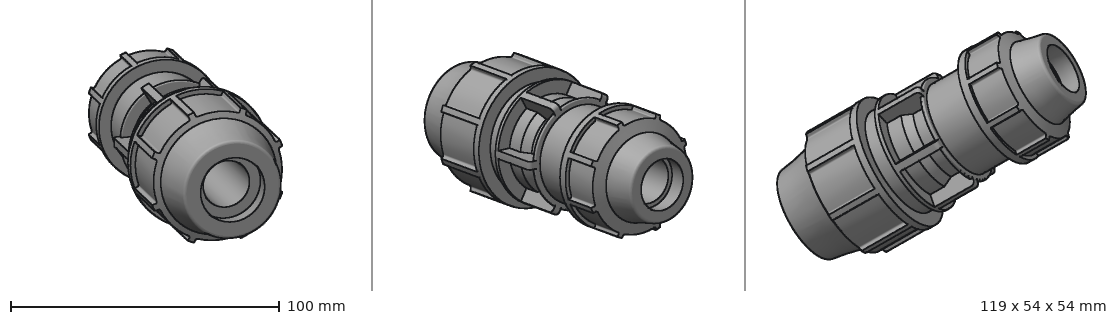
import cadquery as cq
import math

LENGTH = 119.0

TUBE_RADIUS = 38.4 / 2
RING_RADIUS = 43.2 / 2
NECK_RADIUS = RING_RADIUS
WAIST_RADIUS = 48.5 / 2
CORE_SMALL_RADIUS = 16.8
CORE_LARGE_RADIUS = 18.9
RING_START = 48.9
RING_THICKNESS = 1.4
RING_EDGE_FILLET = 0.5
CORE_TAPER_START = 57.1
CORE_TAPER_END = 61.0
COLLAR_START = 67.6
COLLAR_END = 69.3

WAIST_RIB_COUNT = 6
WAIST_RIB_WIDTH = 3.2
WAIST_RIB_CORNER = 1.7

GRIP_COUNT = 8
SHOULDER_SLOPE = 2.8
NOSE_FILLET = 1.2

SMALL_NUT = {
    "flange_radius": 48.0 / 2,
    "shoulder_radius": 17.4,
    "nose_middle_radius": 16.0,
    "nose_end_radius": 14.9,
    "nose_length": 11.7,
    "flange_start": 27.6,
    "flange_end": 30.9,
    "grip_height": 1.7,
    "grip_width": 2.4,
    "grip_foot_fillet": 0.6,
}
LARGE_NUT = {
    "flange_radius": 54.0 / 2,
    "shoulder_radius": 22.6,
    "nose_middle_radius": 20.3,
    "nose_end_radius": 19.0,
    "nose_length": 17.1,
    "flange_start": 40.2,
    "flange_end": 43.3,
    "grip_height": 1.9,
    "grip_width": 2.6,
    "grip_foot_fillet": 0.7,
}

SMALL_MOUTH_RADIUS = 20.0 / 2
LARGE_MOUTH_RADIUS = 25.0 / 2
THROUGH_BORE_RADIUS = 9.0
SOCKET_DEPTH = 7.7
SOCKET_FLARE = 0.8


def cylinder(start, end, radius):
    """Solid cylinder along X."""
    return cq.Workplane("YZ").workplane(offset=start).circle(radius).extrude(end - start)


def revolve_about_x(profile):
    """Turn a closed (x, radius) profile about the X axis."""
    return profile.revolve(360, (0, 0, 0), (1, 0, 0))


def polar(radius, angle):
    """Point in the YZ plane at an angle in degrees from +Y."""
    return radius * math.cos(math.radians(angle)), radius * math.sin(math.radians(angle))


def make_nut(nut):
    """Nut with its nose at X = 0 and its flange towards +X."""
    outer = nut["flange_radius"]
    nose_length = nut["nose_length"]
    grip_start = nose_length + (outer - nut["shoulder_radius"]) / SHOULDER_SLOPE
    blank = revolve_about_x(
        cq.Workplane("XY")
        .lineTo(0, nut["nose_end_radius"])
        .threePointArc(
            (nose_length / 2, nut["nose_middle_radius"]),
            (nose_length, nut["shoulder_radius"]),
        )
        .lineTo(grip_start, outer)
        .lineTo(nut["flange_end"], outer)
        .lineTo(nut["flange_end"], 0)
        .close()
    )
    blank = blank.faces("<X").edges().fillet(NOSE_FILLET)

    barrel = outer - nut["grip_height"]
    half_width = nut["grip_width"] / 2
    pitch = 360 / GRIP_COUNT
    foot = pitch / 2 - math.degrees(math.asin(half_width / barrel))
    tip = pitch / 2 - math.degrees(math.asin(half_width / outer))
    recess = (
        cq.Workplane("YZ")
        .workplane(offset=nose_length)
        .moveTo(*polar(barrel, -foot))
        .threePointArc(polar(barrel, 0), polar(barrel, foot))
        .lineTo(*polar(outer, tip))
        .threePointArc(polar(outer, 0), polar(outer, -tip))
        .close()
        .extrude(nut["flange_start"] - nose_length)
        .edges("|X")
        .edges("<Y")
        .fillet(nut["grip_foot_fillet"])
    )
    for index in range(GRIP_COUNT):
        blank = blank.cut(recess.rotate((0, 0, 0), (1, 0, 0), index * pitch))
    return blank


def make_socket(mouth_radius):
    """Cutter for a pipe socket opening at X = 0."""
    return revolve_about_x(
        cq.Workplane("XY")
        .lineTo(0, mouth_radius)
        .lineTo(SOCKET_DEPTH, mouth_radius + SOCKET_FLARE)
        .lineTo(SOCKET_DEPTH, 0)
        .close()
    )


def face_other_way(end_piece):
    """Turn a piece made at X = 0 round so that it sits at the X = LENGTH end."""
    return end_piece.rotate((0, 0, 0), (0, 0, 1), 180).translate((LENGTH, 0, 0))


def make_body():
    """Tube, end ring, waist core, collar and neck as one turned piece."""
    ring_end = RING_START + RING_THICKNESS
    ring = cylinder(RING_START, ring_end, RING_RADIUS).edges().fillet(RING_EDGE_FILLET)
    core = revolve_about_x(
        cq.Workplane("XY")
        .moveTo(RING_START, 0)
        .lineTo(RING_START, CORE_SMALL_RADIUS)
        .lineTo(CORE_TAPER_START, CORE_SMALL_RADIUS)
        .lineTo(CORE_TAPER_END, CORE_LARGE_RADIUS)
        .lineTo(COLLAR_START, CORE_LARGE_RADIUS)
        .lineTo(COLLAR_START, 0)
        .close()
    )
    tube = cylinder(SMALL_NUT["flange_end"], RING_START, TUBE_RADIUS)
    collar = cylinder(COLLAR_START, COLLAR_END, WAIST_RADIUS)
    neck = cylinder(COLLAR_END, LENGTH - LARGE_NUT["flange_end"], NECK_RADIUS)
    return tube.union(ring).union(core).union(collar).union(neck)


def make_waist_ribs():
    """Radial ribs from the ring to the collar, each with a rounded outer corner."""
    disc = cylinder(RING_START, COLLAR_START, WAIST_RADIUS)
    disc = disc.faces("<X").edges().fillet(WAIST_RIB_CORNER)
    length = COLLAR_START - RING_START
    blade = cq.Workplane("XY").box(
        length, WAIST_RADIUS, WAIST_RIB_WIDTH, centered=(False, False, True)
    ).translate((RING_START, 0, 0))
    blades = blade
    for index in range(1, WAIST_RIB_COUNT):
        blades = blades.union(blade.rotate((0, 0, 0), (1, 0, 0), index * 360 / WAIST_RIB_COUNT))
    return blades.intersect(disc)


small_nut = make_nut(SMALL_NUT)
large_nut = face_other_way(make_nut(LARGE_NUT))
coupling = make_body().union(make_waist_ribs()).union(small_nut).union(large_nut)

coupling = coupling.cut(cylinder(0, LENGTH, THROUGH_BORE_RADIUS))
coupling = coupling.cut(make_socket(SMALL_MOUTH_RADIUS))
coupling = coupling.cut(face_other_way(make_socket(LARGE_MOUTH_RADIUS)))

result = coupling